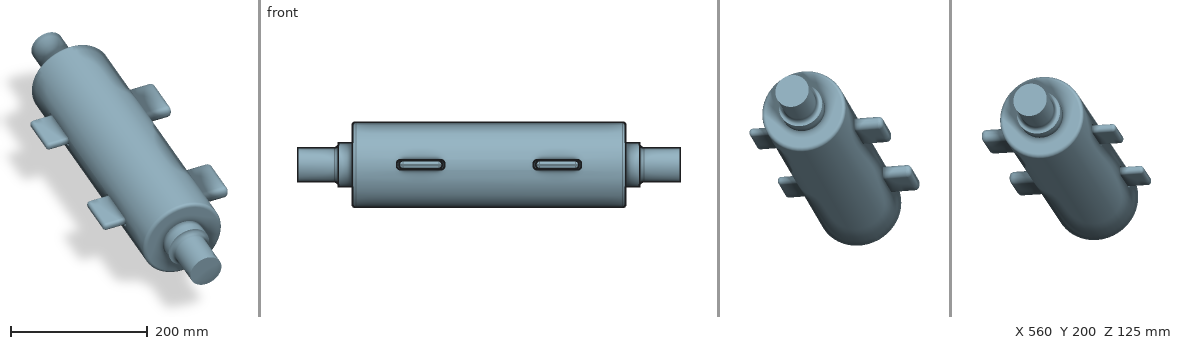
import cadquery as cq

total_length = 560.0
roller_diameter = 125.0
roller_length = 400.0
roller_edge_radius = 5.0
collar_diameter = 65.0
collar_length = 20.0
journal_diameter = 50.0
journal_fillet = 6.0

key_spacing = 200.0
recess_depth = 15.0

thick_key_length = 68.5
thick_key_thickness = 18.5
thick_key_edge_radius = 8.0
thick_key_tip_radius = 7.0
thick_key_projection = 41.5

thin_key_length = 63.0
thin_key_thickness = 12.0
thin_key_edge_radius = 5.0
thin_key_tip_radius = thin_key_edge_radius
thin_key_projection = 33.5

thin_recess_end_gap = 4.0
thin_recess_side_gap = 1.5

roller_radius = roller_diameter / 2
recess_floor = roller_radius - recess_depth
key_positions = [-key_spacing / 2, key_spacing / 2]


def rounded_bar(length, thickness, edge_radius, start, end):
    """Bar reaching from Y = start to Y = end, with its four long edges rounded."""
    bar = cq.Workplane("XY").box(length, end - start, thickness)
    return bar.translate((0, (start + end) / 2, 0)).edges("|Y").fillet(edge_radius)


def make_key(length, thickness, edge_radius, tip_radius, projection):
    """Key on the +Y side, seated on the recess floor and rounded at its outer end."""
    tip = roller_radius + projection
    bar = rounded_bar(length, thickness, edge_radius, recess_floor, tip)
    return bar.faces(">Y").edges().fillet(tip_radius)


def make_thick_recess():
    """Cutter on the +Y side that fits closely around a thick key."""
    return rounded_bar(
        thick_key_length, thick_key_thickness, thick_key_edge_radius, recess_floor, roller_diameter
    )


def make_thin_recess():
    """Cutter on the +Y side that widens outwards from the section of a thin key."""
    floor_section = cq.Sketch().rect(thin_key_length, thin_key_thickness)
    floor_section = floor_section.vertices().fillet(thin_key_edge_radius)
    mouth_section = cq.Sketch().rect(
        thin_key_length + 2 * thin_recess_end_gap,
        thin_key_thickness + 2 * thin_recess_side_gap,
    )
    mouth_section = mouth_section.vertices().fillet(thin_key_edge_radius + thin_recess_side_gap)
    mouth_location = cq.Location(cq.Vector(0, 0, recess_depth))
    cutter = cq.Workplane("XY").placeSketch(floor_section, mouth_section.moved(mouth_location)).loft()
    return cutter.rotate((0, 0, 0), (1, 0, 0), -90).translate((0, recess_floor, 0))


def on_minus_y(shape):
    """Turn a +Y side shape half a turn about the roller axis."""
    return shape.rotate((0, 0, 0), (1, 0, 0), 180)


def cylinder_along_x(diameter, length):
    """Cylinder on the X axis, centred at the origin."""
    return cq.Workplane("YZ").circle(diameter / 2).extrude(length / 2, both=True)


def make_roller(recesses):
    """Barrel, collars and journals in one solid, with a recess for every key."""
    barrel = cylinder_along_x(roller_diameter, roller_length).edges().fillet(roller_edge_radius)
    collared_length = roller_length + 2 * collar_length
    collars = cylinder_along_x(collar_diameter, collared_length)
    journals = cylinder_along_x(journal_diameter, total_length)
    shaft = collars.union(journals)

    half_collared = collared_length / 2
    margin = 0.05
    reach = journal_diameter / 2 + margin
    for side in (-1, 1):
        root = cq.selectors.BoxSelector(
            (side * half_collared - margin, -reach, -reach),
            (side * half_collared + margin, reach, reach),
            boundingbox=True,
        )
        shaft = shaft.edges(root).fillet(journal_fillet)

    roller = barrel.union(shaft)
    for recess in recesses:
        for x in key_positions:
            roller = roller.cut(recess.translate((x, 0, 0)))
    return roller


roller = make_roller([make_thick_recess(), on_minus_y(make_thin_recess())])

thick_key = make_key(
    thick_key_length,
    thick_key_thickness,
    thick_key_edge_radius,
    thick_key_tip_radius,
    thick_key_projection,
)
thick_keys = [thick_key.translate((x, 0, 0)) for x in key_positions]

thin_key = on_minus_y(
    make_key(
        thin_key_length,
        thin_key_thickness,
        thin_key_edge_radius,
        thin_key_tip_radius,
        thin_key_projection,
    )
)
thin_keys = [thin_key.translate((x, 0, 0)) for x in key_positions]

result = cq.Compound.makeCompound(
    [roller.val()] + [key.val() for key in thick_keys] + [key.val() for key in thin_keys]
)